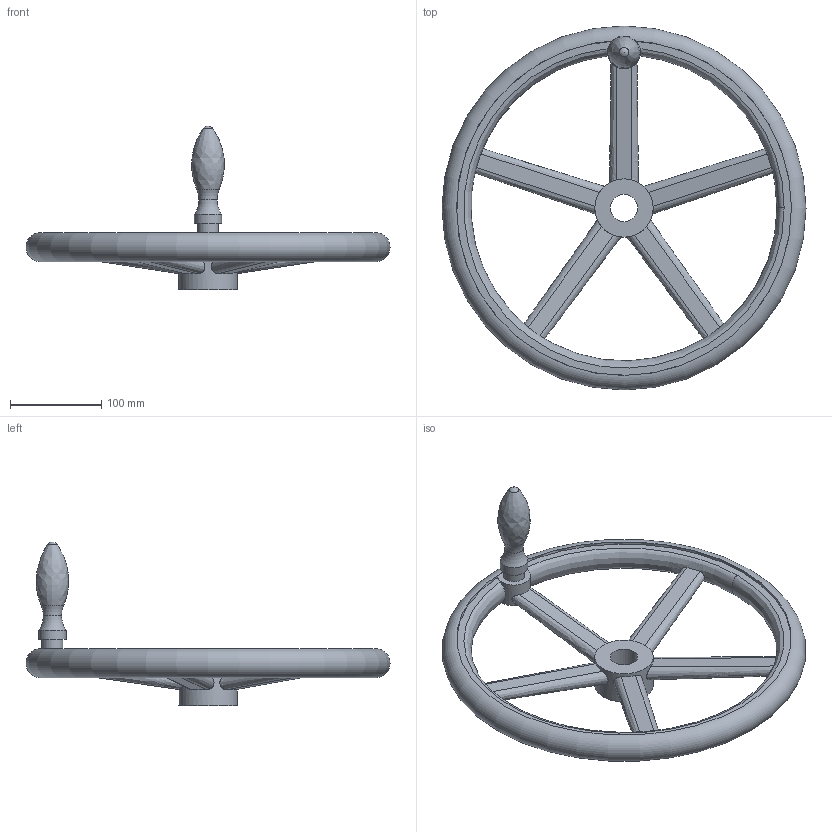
import cadquery as cq
import math


hub_diameter = 64
hub_height = 38
bore_diameter = 30

rim_outer_radius = 200
rim_thickness = 32
rim_width = 32
rim_flat = 8
rim_top = 63
rim_bottom = rim_top - rim_thickness
rim_middle = rim_top - rim_thickness / 2
rim_inner_radius = rim_outer_radius - rim_width
rim_step = 3
rim_step_radius = rim_outer_radius - rim_thickness / 2
rim_flat_inner = rim_step_radius - rim_flat
inner_top = rim_top - rim_step
inner_bottom = rim_bottom + rim_step

spoke_count = 5
spoke_root_radius = 25
spoke_root_height = 25
spoke_root_width = 32
spoke_root_thickness = 16
spoke_tip_radius = 180
spoke_tip_height = 45.5
spoke_tip_width = 28
spoke_tip_thickness = 12
first_spoke_angle = 90

boss_diameter = 36
boss_drop = 1
boss_top = rim_top - boss_drop
boss_bottom = inner_bottom
handle_offset = 171

handle_height = 117
stem_radius = 11.5
collar_radius = 15
collar_bottom = 10
collar_top = 20
neck_radius = 10
neck_height = 36
belly_radius = 18
belly_height = 74.6
belly_curvature = 68


def make_hub():
    return cq.Workplane("XY").circle(hub_diameter / 2).extrude(hub_height)


def make_rim():
    profile = (
        cq.Workplane("XZ")
        .moveTo(rim_step_radius, inner_top)
        .lineTo(rim_step_radius, rim_top)
        .threePointArc((rim_outer_radius, rim_middle), (rim_step_radius, rim_bottom))
        .lineTo(rim_step_radius, inner_bottom)
        .lineTo(rim_flat_inner, inner_bottom)
        .ellipseArc(
            rim_flat_inner - rim_inner_radius,
            (inner_top - inner_bottom) / 2,
            angle1=90,
            angle2=270,
            sense=-1,
        )
        .close()
    )
    return profile.revolve(360, (0, 0), (0, 1))


def make_spoke(angle):
    spoke = (
        cq.Workplane("YZ", origin=(spoke_root_radius, 0, spoke_root_height))
        .slot2D(spoke_root_width, spoke_root_thickness)
        .workplane(offset=spoke_tip_radius - spoke_root_radius)
        .center(0, spoke_tip_height - spoke_root_height)
        .slot2D(spoke_tip_width, spoke_tip_thickness)
        .loft(ruled=True)
    )
    return spoke.rotate((0, 0, 0), (0, 0, 1), angle)


def make_boss():
    base = cq.Workplane("XY", origin=(0, handle_offset, boss_bottom))
    return base.circle(boss_diameter / 2).extrude(boss_top - boss_bottom)


def make_handle():
    belly_center = belly_radius - belly_curvature
    tip_rise = handle_height - belly_height
    dome_radius = (belly_curvature**2 - belly_center**2 - tip_rise**2) / (2 * (belly_curvature - tip_rise))
    dome_center = handle_height - dome_radius

    neck_step = belly_radius - neck_radius
    neck_rise = belly_height - neck_height
    curvature_sum = (neck_step**2 + neck_rise**2) / (2 * neck_step)
    neck_curvature = curvature_sum - belly_curvature
    neck_center = neck_radius + neck_curvature

    blend_share = neck_curvature / curvature_sum
    blend_point = (
        neck_center + (belly_center - neck_center) * blend_share,
        neck_height + neck_rise * blend_share,
    )
    dome_angle = math.atan2(dome_center - belly_height, -belly_center)
    dome_start = (
        dome_radius * math.cos(dome_angle),
        dome_center + dome_radius * math.sin(dome_angle),
    )
    dome_mid_angle = (dome_angle + math.pi / 2) / 2
    dome_middle = (
        dome_radius * math.cos(dome_mid_angle),
        dome_center + dome_radius * math.sin(dome_mid_angle),
    )

    flare_step = collar_radius - neck_radius
    flare_drop = neck_height - collar_top
    flare_curvature = (flare_step**2 + flare_drop**2) / (2 * flare_step)
    flare_mid_angle = math.asin(flare_drop / flare_curvature) / 2
    flare_middle = (
        neck_radius + flare_curvature * (1 - math.cos(flare_mid_angle)),
        neck_height - flare_curvature * math.sin(flare_mid_angle),
    )
    neck_mid_angle = math.asin((blend_point[1] - neck_height) / neck_curvature) / 2
    neck_middle = (
        neck_radius + neck_curvature * (1 - math.cos(neck_mid_angle)),
        neck_height + neck_curvature * math.sin(neck_mid_angle),
    )

    stem_bottom = rim_middle - rim_top
    profile = (
        cq.Workplane("XZ")
        .moveTo(0, stem_bottom)
        .lineTo(stem_radius, stem_bottom)
        .lineTo(stem_radius, collar_bottom)
        .lineTo(collar_radius, collar_bottom)
        .lineTo(collar_radius, collar_top)
        .threePointArc(flare_middle, (neck_radius, neck_height))
        .threePointArc(neck_middle, blend_point)
        .threePointArc((belly_radius, belly_height), dome_start)
        .threePointArc(dome_middle, (0, handle_height))
        .close()
    )
    handle = profile.revolve(360, (0, 0), (0, 1))
    return handle.translate((0, handle_offset, rim_top))


wheel = make_hub().union(make_rim())
for index in range(spoke_count):
    wheel = wheel.union(make_spoke(first_spoke_angle + index * 360 / spoke_count))
wheel = wheel.union(make_boss()).union(make_handle())

bore = cq.Workplane("XY").circle(bore_diameter / 2).extrude(hub_height)
result = wheel.cut(bore)